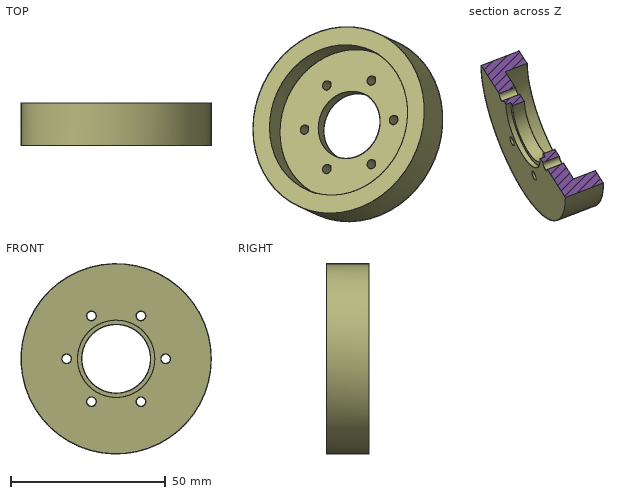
import cadquery as cq

disc_diameter = 61.6
disc_thickness = 13.8
bore_diameter = 22.2
recess_diameter = 25.0
recess_depth = 1.7
web_thickness = 6.0
rim_thickness = web_thickness
cavity_diameter = disc_diameter - 2 * rim_thickness
bolt_hole_diameter = 3.0
bolt_circle_radius = 16.0
bolt_hole_count = 6

front_y = -disc_thickness / 2


def cylinder_along_y(diameter, length):
    """Cylinder on the Y axis, running from the front face toward +Y."""
    plane = cq.Plane(origin=(0, front_y, 0), xDir=(1, 0, 0), normal=(0, 1, 0))
    return cq.Workplane(plane).circle(diameter / 2).extrude(length)


disc = cylinder_along_y(disc_diameter, disc_thickness)
bore = cylinder_along_y(bore_diameter, disc_thickness)
recess = cylinder_along_y(recess_diameter, recess_depth)
cavity = cylinder_along_y(cavity_diameter, disc_thickness - web_thickness).translate((0, web_thickness, 0))

result = disc.cut(bore).cut(recess).cut(cavity)

for index in range(bolt_hole_count):
    hole = cylinder_along_y(bolt_hole_diameter, web_thickness).translate((bolt_circle_radius, 0, 0))
    angle = index * 360 / bolt_hole_count
    result = result.cut(hole.rotate((0, 0, 0), (0, 1, 0), angle))